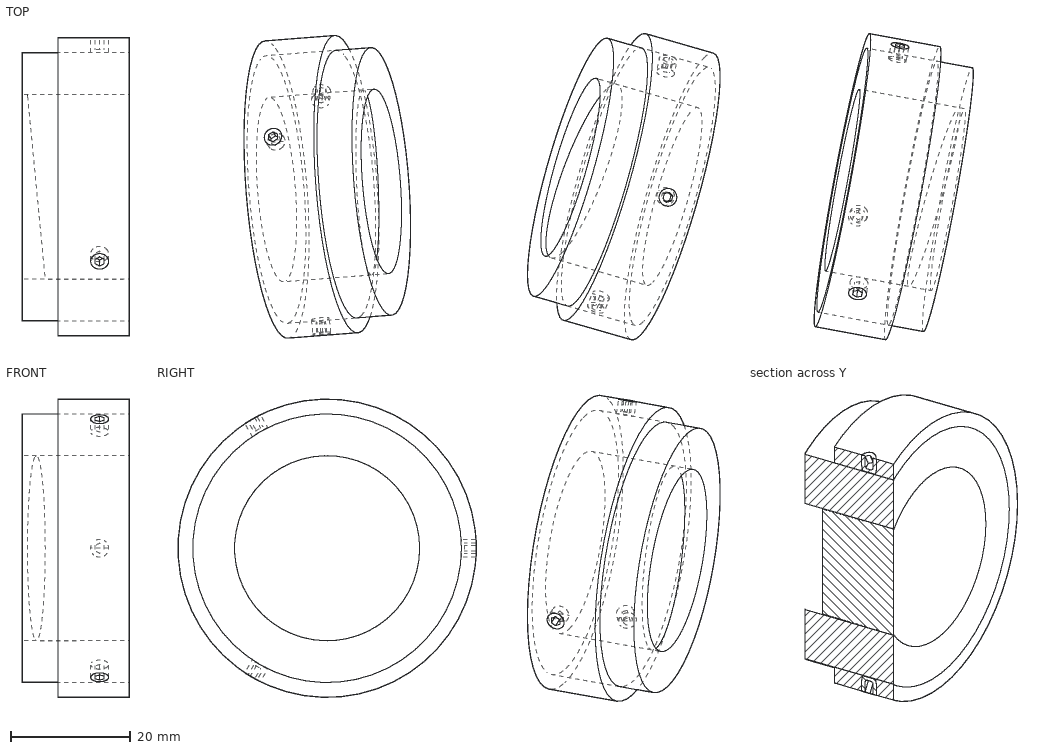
import cadquery as cq
import math

total_length = 18.0
ring_diameter = 50.0
ring_length = 12.0
barrel_diameter = 45.0
bore_diameter = 31.0
recess_depth = 2.4
window_tilt = 5.5

screw_count = 3
screw_diameter = 3.0
screw_chamfer_width = 0.25
screw_chamfer_height = 0.05
screw_setback = 5.0
socket_across_flats = 1.5
socket_depth = 2.0

ring_start = total_length - ring_length
screw_x = total_length - screw_setback
screw_inner_radius = barrel_diameter / 2
ring_thickness = (ring_diameter - barrel_diameter) / 2
screw_length = ring_thickness
socket_corner_diameter = socket_across_flats / math.cos(math.pi / 6)


def disc(diameter, start, end):
    """Solid cylinder on the X axis between two stations."""
    return cq.Workplane("YZ").workplane(offset=start).circle(diameter / 2).extrude(end - start)


def screw_plane(index):
    """Plane on the barrel surface facing radially outward; the first screw points to +Y."""
    angle = 2 * math.pi * index / screw_count
    outward = (0, math.cos(angle), math.sin(angle))
    origin = (screw_x, screw_inner_radius * outward[1], screw_inner_radius * outward[2])
    return cq.Plane(origin=origin, xDir=(1, 0, 0), normal=outward)


def make_barrel():
    """Tube that runs the full length."""
    bore = disc(bore_diameter, 0, total_length)
    return disc(barrel_diameter, 0, total_length).cut(bore)


def make_window():
    """Wedge-shaped disc that fills the bore behind the recess, with a tilted flat front face."""
    bore_radius = bore_diameter / 2
    face_rise = bore_radius * math.tan(math.radians(window_tilt))
    profile = [
        (recess_depth + face_rise, -bore_radius),
        (total_length, -bore_radius),
        (total_length, bore_radius),
        (recess_depth - face_rise, bore_radius),
    ]
    wedge = cq.Workplane("XY").polyline(profile).close().extrude(bore_radius, both=True)
    return wedge.intersect(disc(bore_diameter, 0, total_length))


def make_ring():
    """Outer ring around the barrel, with radial holes for the set screws."""
    ring = disc(ring_diameter, ring_start, total_length)
    ring = ring.cut(disc(barrel_diameter, ring_start, total_length))
    for index in range(screw_count):
        hole = cq.Workplane(screw_plane(index)).circle(screw_diameter / 2).extrude(2 * ring_thickness)
        ring = ring.cut(hole)
    return ring


def make_set_screw(index):
    """Set screw with a chamfered outer end and a hexagon socket, its flats facing along X."""
    plane = screw_plane(index)
    radius = screw_diameter / 2
    profile = [
        (0, 0),
        (radius, 0),
        (radius, screw_length - screw_chamfer_height),
        (radius - screw_chamfer_width, screw_length),
        (0, screw_length),
    ]
    section_normal = plane.xDir.cross(plane.zDir)
    section_plane = cq.Plane(origin=plane.origin, xDir=plane.xDir, normal=section_normal)
    screw = cq.Workplane(section_plane).polyline(profile).close().revolve(360, (0, 0), (0, 1))
    socket = (
        cq.Workplane(plane)
        .workplane(offset=screw_length - socket_depth)
        .transformed(rotate=(0, 0, 90))
        .polygon(6, socket_corner_diameter)
        .extrude(socket_depth)
    )
    return screw.cut(socket)


barrel = make_barrel()
window = make_window()
ring = make_ring()
set_screws = [make_set_screw(index) for index in range(screw_count)]

result = cq.Compound.makeCompound(
    [barrel.val(), window.val(), ring.val(), *[screw.val() for screw in set_screws]]
)